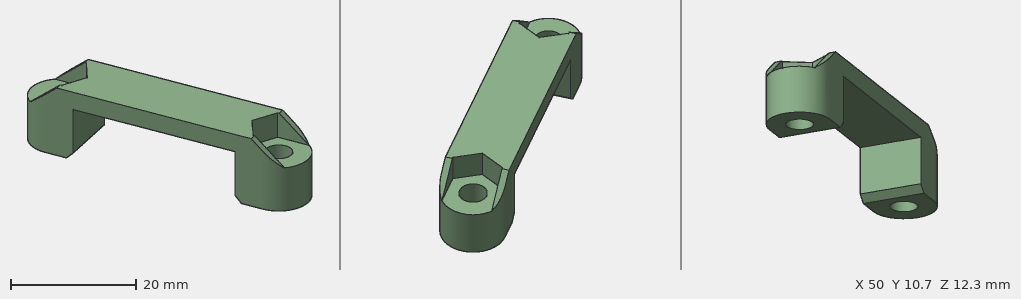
import cadquery as cq
import math

length = 50.05
width = 10.65
height = 12.3
hole_x = length / 2 - width / 2

foot_height = 7.85
slope_bottom_x = 22.95
slope_top_x = 17.55
opening_half_length = 14.6
opening_height = 9.15
foot_chamfer = 1.2

hole_diameter = 4.5
recess_width = 8.3
recess_corner_angle = math.radians(30)
recess_corner_reach = recess_width / 2 / math.cos(recess_corner_angle)
recess_side_reach = recess_corner_reach / 2


def handle_body():
    """Bridge profile with sloped shoulders, rounded at both ends in plan."""
    half_profile = [
        (0, opening_height),
        (opening_half_length, opening_height),
        (opening_half_length, foot_chamfer),
        (opening_half_length + foot_chamfer, 0),
        (length / 2, 0),
        (length / 2, foot_height),
        (slope_bottom_x, foot_height),
        (slope_top_x, height),
        (0, height),
    ]
    bridge = (
        cq.Workplane("XZ")
        .polyline(half_profile)
        .mirrorY()
        .extrude(width / 2, both=True)
    )
    plan = cq.Workplane("XY").slot2D(length, width).extrude(height)
    return bridge.intersect(plan)


def screw_seat_cutter():
    """Through hole and half-hexagon recess, open outward, for the +X foot."""
    hole = cq.Workplane("XY").center(hole_x, 0).circle(hole_diameter / 2).extrude(height)
    recess_outline = [
        (hole_x - recess_corner_reach, 0),
        (hole_x - recess_side_reach, recess_width / 2),
        (length / 2, recess_width / 2),
        (length / 2, -recess_width / 2),
        (hole_x - recess_side_reach, -recess_width / 2),
    ]
    recess = (
        cq.Workplane("XY")
        .workplane(offset=foot_height)
        .polyline(recess_outline)
        .close()
        .extrude(height - foot_height)
    )
    return hole.union(recess)


seat = screw_seat_cutter()
result = handle_body().cut(seat).cut(seat.mirror("YZ"))